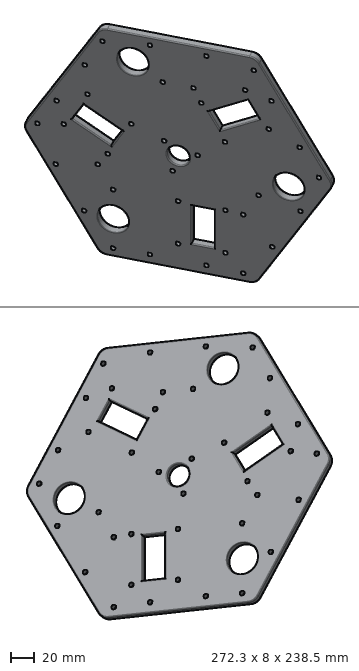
import cadquery as cq
import math

across_flats = 238.5
overall_width = 272.3
thickness = 8.0
edge_fillet = 1.0

sides = 6
arms = 3
apothem = across_flats / 2
vertex_radius = apothem / math.cos(math.pi / sides)
corner_radius = (vertex_radius - overall_width / 2) / (1 / math.cos(math.pi / sides) - 1)

center_bore = 20.0
cable_hole = 28.0
cable_hole_fillet = 0.5
cable_hole_position = (-57.7, -79.8)

window_width = 20.2
window_height = 40.0
window_position = (22.0, -70.0)

screw_hole = 4.0
servo_screw_x = (0, 42.0)
servo_screw_z = (-48.0, -92.9)
standoff_x = 57.7
standoff_z = (-49.0, -110.8)
rim_screw_x = 25.0
rim_screw_z = (110.8, -110.0)
center_screw_position = (-5.0, -17.2)


def copy_to_arms(points):
    """Copy (x, z) points around the plate center, once per arm."""
    copies = []
    for step in range(arms):
        angle = step * 2 * math.pi / arms
        for x, z in points:
            copies.append((
                x * math.cos(angle) - z * math.sin(angle),
                x * math.sin(angle) + z * math.cos(angle),
            ))
    return copies


def base_sketch():
    """Workplane on the back face, extruding toward -Y through the plate."""
    return cq.Workplane("XZ", origin=(0, thickness / 2, 0))


def faces_of(body):
    """Front and back faces of the plate."""
    return body.faces("<Y or >Y")


def plate_blank():
    blank = base_sketch().polygon(sides, 2 * vertex_radius).extrude(thickness)
    return blank.edges("|Y").fillet(corner_radius)


def round_cutters(points, diameter):
    return base_sketch().pushPoints(points).circle(diameter / 2).extrude(thickness)


def window_cutter(arm):
    window = base_sketch().center(*window_position).rect(window_width, window_height).extrude(thickness)
    return window.rotate((0, 0, 0), (0, 1, 0), arm * 360 / arms)


servo_screws = [(x, z) for x in servo_screw_x for z in servo_screw_z]
standoffs = [(side * standoff_x, z) for side in (-1, 1) for z in standoff_z]
rim_screws = [(side * rim_screw_x, z) for side in (-1, 1) for z in rim_screw_z]

screw_points = copy_to_arms(
    servo_screws + standoffs + rim_screws + [center_screw_position]
)

plate = plate_blank()
plate = plate.cut(round_cutters([(0, 0)], center_bore))
for arm in range(arms):
    plate = plate.cut(window_cutter(arm))
plate = faces_of(plate).edges().fillet(edge_fillet)

plate = plate.cut(round_cutters(copy_to_arms([cable_hole_position]), cable_hole))
largest_radius = cq.selectors.RadiusNthSelector(-1)
plate = faces_of(plate).edges("%CIRCLE").edges(largest_radius).fillet(cable_hole_fillet)

result = plate.cut(round_cutters(screw_points, screw_hole))